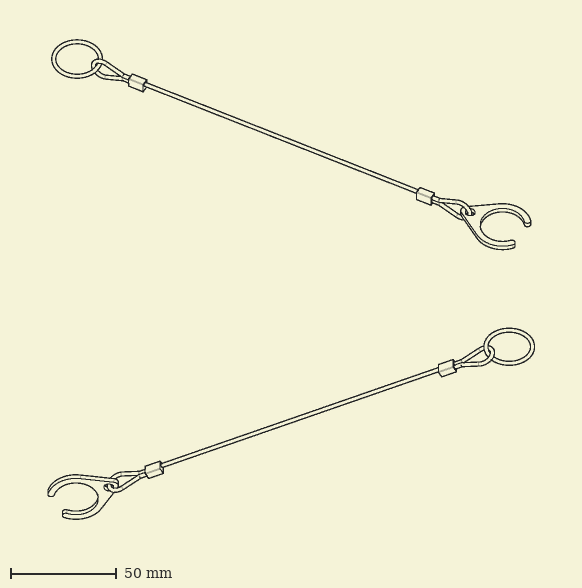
import cadquery as cq
import math

wire_diameter = 2.0
wire_radius = wire_diameter / 2

eye_tip_x = 101.8
eye_height = 12.0
eye_radius = eye_height / 2 - wire_radius
eye_center_x = eye_tip_x - eye_height / 2
neck_x = 84.7
strand_offset = 1.08
ferrule_outer_x = 81.0
ferrule_length = 7.8
ferrule_width = 3.8
ferrule_height = 5.3
ferrule_edge_radius = 0.3
ferrule_middle_x = ferrule_outer_x - ferrule_length / 2

ring_diameter = 24.0
ring_left_x = -121.5
ring_center_x = ring_left_x + ring_diameter / 2

clip_outer_radius = 13.66
clip_inner_radius = 10.5
clip_thickness = 2.5
clip_center_x = 118.3
clip_end_angle = 40.5
nose_radius = 2.5
nose_tip_x = 96.3
nose_center_x = nose_tip_x + nose_radius
clip_hole_x = 101.0
clip_hole_radius = 2.3


def polar(center_x, radius, angle):
    """Point at an angle in radians around a centre on the X axis."""
    return (center_x + radius * math.cos(angle), radius * math.sin(angle))


def make_eye(side):
    """Teardrop of wire in the XZ plane; side is +1 or -1 along X."""
    reach = eye_center_x - neck_x
    distance = math.hypot(reach, strand_offset)
    tangent_angle = (
        math.pi
        - math.atan2(strand_offset, reach)
        - math.acos(eye_radius / distance)
    )
    tangent_x, tangent_z = polar(eye_center_x, eye_radius, tangent_angle)
    path = (
        cq.Workplane("XZ")
        .moveTo(side * ferrule_middle_x, strand_offset)
        .lineTo(side * neck_x, strand_offset)
        .lineTo(side * tangent_x, tangent_z)
        .threePointArc(
            (side * (eye_center_x + eye_radius), 0),
            (side * tangent_x, -tangent_z),
        )
        .lineTo(side * neck_x, -strand_offset)
        .lineTo(side * ferrule_middle_x, -strand_offset)
    )
    return (
        cq.Workplane("YZ", origin=(side * ferrule_middle_x, 0, strand_offset))
        .circle(wire_radius)
        .sweep(path, transition="round")
    )


def make_ferrule(side):
    return (
        cq.Workplane("XY")
        .box(ferrule_length, ferrule_width, ferrule_height)
        .edges("|X")
        .fillet(ferrule_edge_radius)
        .translate((side * ferrule_middle_x, 0, 0))
    )


def make_cable():
    """Straight wire with its two eyes and crimped ferrules as one solid."""
    cable = (
        cq.Workplane("YZ", origin=(0, 0, strand_offset))
        .circle(wire_radius)
        .extrude(ferrule_middle_x, both=True)
    )
    for side in (-1, 1):
        cable = cable.union(make_ferrule(side)).union(make_eye(side))
    return cable


def make_ring():
    centerline_radius = ring_diameter / 2 - wire_radius
    return cq.Workplane("XY").add(
        cq.Solid.makeTorus(centerline_radius, wire_radius, cq.Vector(ring_center_x, 0, 0))
    )


def make_clip():
    """C-shaped plate with rounded arm ends and a tapered, pierced nose."""
    end_angle = math.radians(clip_end_angle)
    arm_radius = (clip_outer_radius + clip_inner_radius) / 2
    end_radius = (clip_outer_radius - clip_inner_radius) / 2
    end_x, end_y = polar(clip_center_x, arm_radius, end_angle)
    tip_x = end_x + end_radius * math.sin(end_angle)
    tip_y = end_y - end_radius * math.cos(end_angle)
    outer_x, outer_y = polar(clip_center_x, clip_outer_radius, end_angle)
    inner_x, inner_y = polar(clip_center_x, clip_inner_radius, end_angle)

    flank_angle = math.acos(
        -(clip_outer_radius - nose_radius) / (clip_center_x - nose_center_x)
    )
    flank_x, flank_y = polar(clip_center_x, clip_outer_radius, flank_angle)
    nose_x, nose_y = polar(nose_center_x, nose_radius, flank_angle)
    crown = polar(clip_center_x, clip_outer_radius, (end_angle + flank_angle) / 2)

    return (
        cq.Workplane("XY", origin=(0, 0, -clip_thickness / 2))
        .moveTo(outer_x, outer_y)
        .threePointArc(crown, (flank_x, flank_y))
        .lineTo(nose_x, nose_y)
        .threePointArc((nose_tip_x, 0), (nose_x, -nose_y))
        .lineTo(flank_x, -flank_y)
        .threePointArc((crown[0], -crown[1]), (outer_x, -outer_y))
        .threePointArc((tip_x, -tip_y), (inner_x, -inner_y))
        .threePointArc((clip_center_x - clip_inner_radius, 0), (inner_x, inner_y))
        .threePointArc((tip_x, tip_y), (outer_x, outer_y))
        .close()
        .moveTo(clip_hole_x, 0)
        .circle(clip_hole_radius)
        .extrude(clip_thickness)
    )


cable = make_cable()
ring = make_ring()
clip = make_clip()

result = cq.Compound.makeCompound([cable.val(), ring.val(), clip.val()])